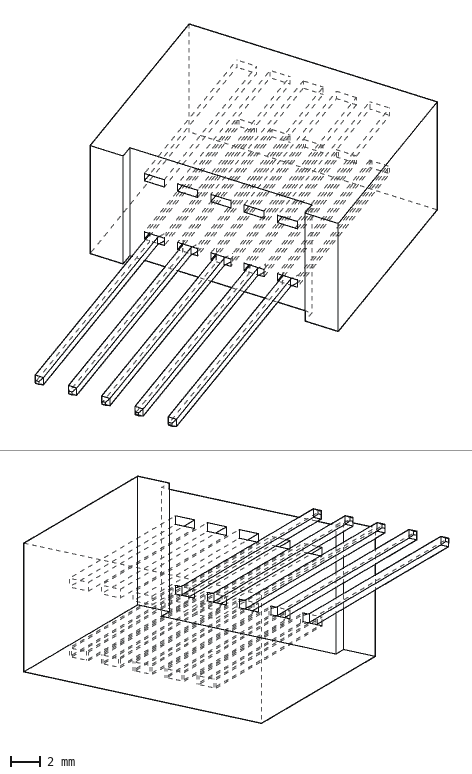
import cadquery as cq

HOUSING_WIDTH = 18.95
HOUSING_DEPTH = 14.95
HOUSING_HEIGHT = 9.4
RECESS_DEPTH = 1.0
WING_WIDTH = 2.53

SLOT_COUNT = 5
SLOT_ROW_SPAN = 10.15
SLOT_PITCH = SLOT_ROW_SPAN / (SLOT_COUNT - 1)
ROW_SPACING = 2 * SLOT_PITCH
SLOT_WIDTH = 1.52
SLOT_HEIGHT = 0.63

TOTAL_LENGTH = 31.63
PIN_WIDTH = 0.63
BLADE_WIDTH = 1.2
SHOULDER_LENGTH = 0.7
SHOULDER_OVERHANG = 0.13
TIP_LENGTH = 0.32
TIP_INSET = 0.2

WING_FRONT_Y = -HOUSING_DEPTH
RECESS_FACE_Y = WING_FRONT_Y + RECESS_DEPTH
PIN_END_Y = -TOTAL_LENGTH
TIP_BASE_Y = PIN_END_Y + TIP_LENGTH
SHOULDER_FRONT_Y = RECESS_FACE_Y - SHOULDER_OVERHANG
SHOULDER_REAR_Y = SHOULDER_FRONT_Y + SHOULDER_LENGTH

SLOT_XS = [i * SLOT_PITCH - SLOT_ROW_SPAN / 2 for i in range(SLOT_COUNT)]
UPPER_ROW_Z = ROW_SPACING / 2
LOWER_ROW_Z = -ROW_SPACING / 2


def box_between_y(width, height, front_y, rear_y):
    """Box centred on X and Z, spanning front_y to rear_y."""
    depth = rear_y - front_y
    return cq.Workplane("XY").box(width, depth, height).translate((0, (front_y + rear_y) / 2, 0))


def make_housing():
    """Block with a full-height front recess between two wings, and two rows of through slots."""
    block = box_between_y(HOUSING_WIDTH, HOUSING_HEIGHT, WING_FRONT_Y, 0)
    recess_width = HOUSING_WIDTH - 2 * WING_WIDTH
    housing = block.cut(box_between_y(recess_width, HOUSING_HEIGHT, WING_FRONT_Y, RECESS_FACE_Y))

    slot = box_between_y(SLOT_WIDTH, SLOT_HEIGHT, RECESS_FACE_Y, 0)
    for z in (UPPER_ROW_Z, LOWER_ROW_Z):
        for x in SLOT_XS:
            housing = housing.cut(slot.translate((x, 0, z)))
    return housing


def make_pin(x):
    """Flat pin: wide blade inside the slot, tapered shoulders, narrow tail with a tapered tip."""
    half_blade = BLADE_WIDTH / 2
    half_pin = PIN_WIDTH / 2
    body = (
        cq.Workplane("XY")
        .workplane(offset=-SLOT_HEIGHT / 2)
        .moveTo(-half_blade, 0)
        .lineTo(-half_blade, SHOULDER_REAR_Y)
        .lineTo(-half_pin, SHOULDER_FRONT_Y)
        .lineTo(-half_pin, TIP_BASE_Y)
        .lineTo(half_pin, TIP_BASE_Y)
        .lineTo(half_pin, SHOULDER_FRONT_Y)
        .lineTo(half_blade, SHOULDER_REAR_Y)
        .lineTo(half_blade, 0)
        .close()
        .extrude(SLOT_HEIGHT)
    )
    tip = (
        cq.Workplane("XZ", origin=(0, TIP_BASE_Y, 0))
        .rect(PIN_WIDTH, SLOT_HEIGHT)
        .workplane(offset=TIP_LENGTH)
        .rect(PIN_WIDTH - 2 * TIP_INSET, SLOT_HEIGHT - 2 * TIP_INSET)
        .loft(ruled=True)
    )
    return body.union(tip).translate((x, 0, LOWER_ROW_Z))


housing = make_housing()
pins = [make_pin(x) for x in SLOT_XS]

result = cq.Compound.makeCompound([housing.val(), *[pin.val() for pin in pins]])